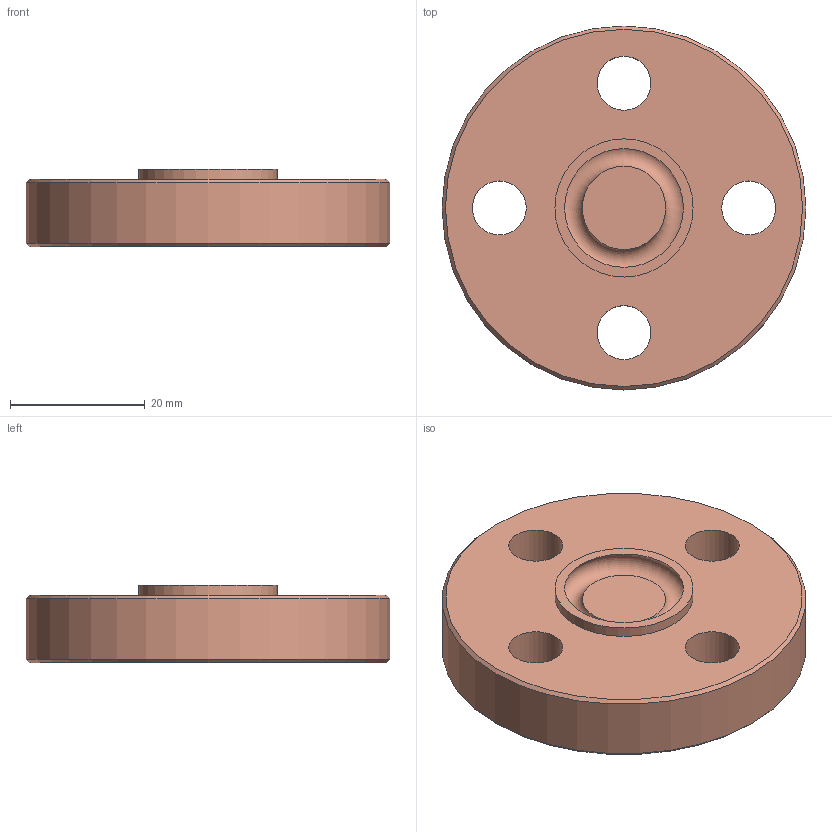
import cadquery as cq
import math

disc_diameter = 54.0
disc_thickness = 10.0
edge_chamfer = 0.5

boss_diameter = 20.5
boss_height = 1.5
top_z = disc_thickness + boss_height

floor_depth = 2.0
floor_z = top_z - floor_depth
groove_section_radius = 1.77
groove_center_radius = 7.87
groove_center_z = disc_thickness

hole_count = 4
hole_diameter = 8.0
bolt_circle_diameter = 37.0


def make_disc():
    """Flange disc resting on Z = 0, chamfered on both rims."""
    disc = cq.Workplane("XY").circle(disc_diameter / 2).extrude(disc_thickness)
    return disc.edges().chamfer(edge_chamfer)


def make_boss():
    """Plain raised face in the middle of the disc."""
    return cq.Workplane("XY").circle(boss_diameter / 2).extrude(top_z)


def make_recess():
    """Flat-floored recess whose outer wall is the arc of the ring groove, as one revolved profile."""
    rim_rise = top_z - groove_center_z
    floor_drop = groove_center_z - floor_z
    rim_radius = groove_center_radius + math.sqrt(groove_section_radius**2 - rim_rise**2)
    floor_radius = groove_center_radius - math.sqrt(groove_section_radius**2 - floor_drop**2)
    groove_bottom = (groove_center_radius, groove_center_z - groove_section_radius)
    return (
        cq.Workplane("XZ")
        .moveTo(0, top_z)
        .lineTo(rim_radius, top_z)
        .threePointArc(groove_bottom, (floor_radius, floor_z))
        .lineTo(0, floor_z)
        .close()
        .revolve(360, (0, 0), (0, 1))
    )


def make_bolt_holes():
    """Through holes, evenly spaced on the bolt circle."""
    return (
        cq.Workplane("XY")
        .polarArray(bolt_circle_diameter / 2, 0, 360, hole_count)
        .circle(hole_diameter / 2)
        .extrude(disc_thickness)
    )


result = make_disc().union(make_boss()).cut(make_recess()).cut(make_bolt_holes())